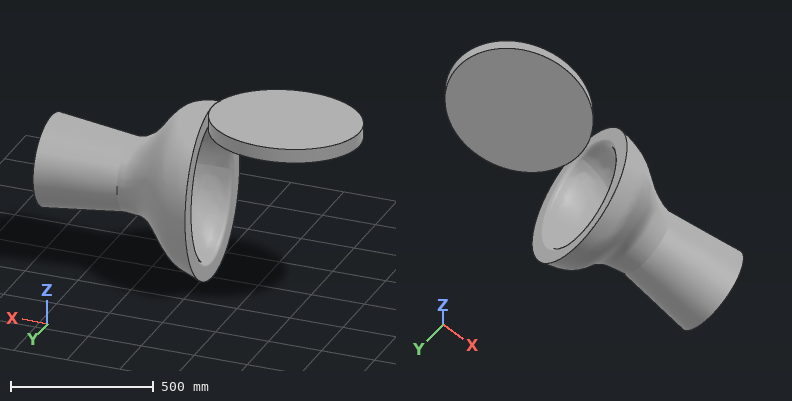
import cadquery as cq


LID_LENGTH = 555.0
LID_WIDTH = 465.0
LID_THICKNESS = 54.0
LID_TOP_Z = 319.0

BOWL_DEPTH = 305.0
PEDESTAL_LENGTH = 1164.0 - LID_LENGTH - BOWL_DEPTH
NECK_RADIUS = 136.0
FOOT_RADIUS = 171.0
RIM_HALF_Y = 257.0
RIM_HALF_Z = 333.0
RIM_CENTER_Z = -14.0
WALL = 68.0
LIP_RADIUS = 14.0
FLOOR_X = BOWL_DEPTH - WALL

OUTER_SECTIONS = [
    (0.0, RIM_CENTER_Z, RIM_HALF_Y, RIM_HALF_Z),
    (63.0, -5.0, 245.0, 319.0),
    (126.0, 7.0, 222.0, 277.0),
    (190.0, 17.0, 180.0, 190.0),
    (253.0, 6.0, 149.0, 143.0),
    (BOWL_DEPTH, 0.0, NECK_RADIUS, NECK_RADIUS),
]

CAVITY_SECTIONS = [
    (0.0, RIM_CENTER_Z, RIM_HALF_Y - WALL, RIM_HALF_Z - WALL),
    (47.0, -9.0, 183.0, 255.0),
    (95.0, 0.0, 163.0, 216.0),
    (143.0, 12.0, 130.0, 149.0),
    (191.0, 13.0, 100.0, 97.0),
    (FLOOR_X, 6.0, 87.0, 79.0),
]


def ellipse_wire(x, center_z, half_y, half_z):
    """Ellipse in a plane normal to X, starting at its highest point."""
    return cq.Wire.makeEllipse(
        half_z,
        half_y,
        cq.Vector(x, 0, center_z),
        cq.Vector(1, 0, 0),
        cq.Vector(0, 0, 1),
    )


def loft_sections(sections):
    """Smooth solid through a row of elliptical sections."""
    wires = [ellipse_wire(*section) for section in sections]
    return cq.Workplane(cq.Solid.makeLoft(wires))


def make_lid():
    """Flat elliptical lid, standing open against the rim plane."""
    return (
        cq.Workplane("XY", origin=(-LID_LENGTH / 2, 0, LID_TOP_Z - LID_THICKNESS))
        .ellipse(LID_LENGTH / 2, LID_WIDTH / 2)
        .extrude(LID_THICKNESS)
    )


def make_pedestal():
    """Solid cone frustum that widens from the neck to the foot."""
    return cq.Workplane(
        cq.Solid.makeCone(
            NECK_RADIUS,
            FOOT_RADIUS,
            PEDESTAL_LENGTH,
            cq.Vector(BOWL_DEPTH, 0, 0),
            cq.Vector(1, 0, 0),
        )
    )


def make_bowl():
    """Hollow bowl and its pedestal as one solid."""
    outside = loft_sections(OUTER_SECTIONS)
    cavity = loft_sections(CAVITY_SECTIONS)
    hollow_bowl = outside.cut(cavity)
    lip_edge = hollow_bowl.faces("<X").wires(cq.selectors.LengthNthSelector(0)).edges()
    rounded_bowl = lip_edge.fillet(LIP_RADIUS)
    return rounded_bowl.union(make_pedestal())


lid = make_lid()
bowl = make_bowl()

result = cq.Compound.makeCompound([lid.val(), *bowl.solids().vals()])